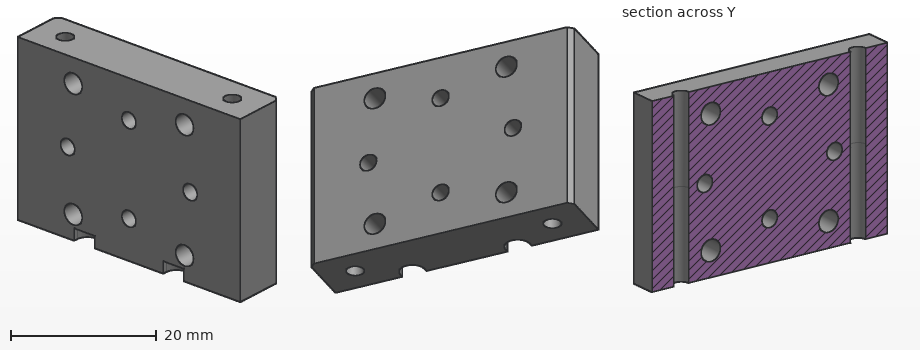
import cadquery as cq

length = 40.0
thickness = 8.5
height = 28.0
edge_chamfer = 0.75

large_diameter = 3.2
large_offset = 10.0
small_diameter = 2.5
small_offset_x = 11.0
small_offset_z = 7.5

vertical_diameter = 2.5
vertical_offset = 15.0

notch_radius = 1.85
notch_straight = 0.65
notch_height = 1.9
notch_offset = 8.0


def make_block():
    """Plate with its two vertical rear edges chamfered."""
    block = cq.Workplane("XY").box(length, thickness, height)
    return block.edges("|Z and >Y").chamfer(edge_chamfer)


def thickness_holes(points, diameter):
    """Cylinders along Y at the given (x, z) points."""
    plane = cq.Workplane("XZ").pushPoints(points)
    return plane.circle(diameter / 2).extrude(thickness, both=True)


def vertical_holes():
    """Two cylinders along Z, midway through the thickness."""
    plane = cq.Workplane("XY").pushPoints([(-vertical_offset, 0), (vertical_offset, 0)])
    return plane.circle(vertical_diameter / 2).extrude(height, both=True)


def notch(x):
    """Notch rising from the bottom: straight sides at the front face, then a half-round end."""
    return (
        cq.Workplane("XY", origin=(x, -thickness / 2, -height / 2))
        .moveTo(-notch_radius, 0)
        .lineTo(notch_radius, 0)
        .lineTo(notch_radius, notch_straight)
        .threePointArc((0, notch_straight + notch_radius), (-notch_radius, notch_straight))
        .close()
        .extrude(notch_height)
    )


large_points = [
    (x, z)
    for x in (-large_offset, large_offset)
    for z in (-large_offset, large_offset)
]
small_points = [
    (-small_offset_x, 0),
    (small_offset_x, 0),
    (0, -small_offset_z),
    (0, small_offset_z),
]

result = (
    make_block()
    .cut(thickness_holes(large_points, large_diameter))
    .cut(thickness_holes(small_points, small_diameter))
    .cut(vertical_holes())
    .cut(notch(-notch_offset))
    .cut(notch(notch_offset))
)